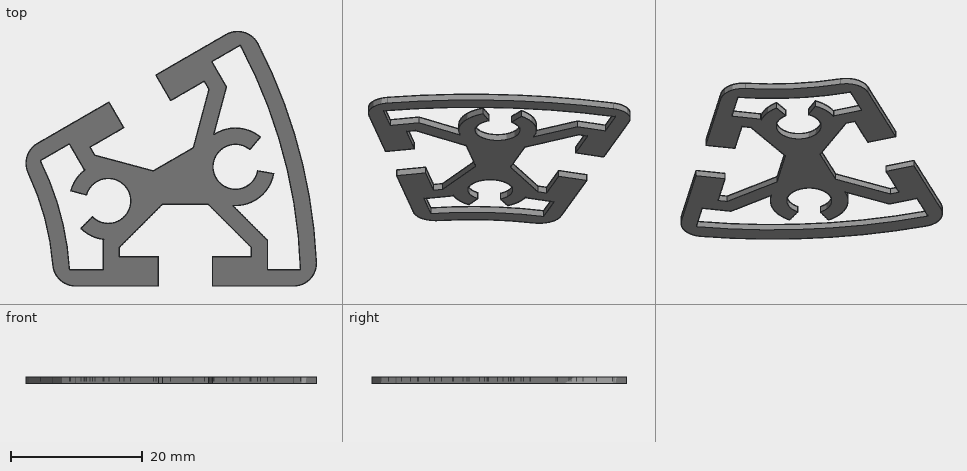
import cadquery as cq
import math

THICKNESS = 1.0
INNER_RADIUS = 40.0
OUTER_RADIUS = 80.0
SECTOR_ANGLE = 30.0
BISECTOR_ANGLE = SECTOR_ANGLE / 2
CORNER_RADIUS = 3.5
WALL = 2.5

SLOT_CENTRE = (INNER_RADIUS + OUTER_RADIUS) / 2
SLOT_HALF_MOUTH = 4.1
SLOT_HALF_WIDTH = 10.0
SLOT_HALF_FLOOR = 3.5
LIP_DEPTH = 4.5
SLOT_DEPTH = 12.4

BORE_RADIUS = 3.4
CHANNEL_RADIUS = BORE_RADIUS + WALL
CHANNEL_GAP_ANGLE = 60.0
INNER_CHANNEL_POSITION = 50.0
OUTER_CHANNEL_POSITION = 70.0
INNER_GAP_DIRECTION = BISECTOR_ANGLE + 180.0
OUTER_GAP_DIRECTION = 20.0


def polar(radius, angle, centre=(0.0, 0.0)):
    """Point at the given radius and angle (degrees) from a centre."""
    turn = math.radians(angle)
    return (centre[0] + radius * math.cos(turn), centre[1] + radius * math.sin(turn))


def annular_sector(inner_radius, outer_radius, inset):
    """Plate between two radii, with its straight sides moved inwards by inset."""

    def corners(radius):
        inset_angle = math.degrees(math.asin(inset / radius))
        return polar(radius, inset_angle), polar(radius, SECTOR_ANGLE - inset_angle)

    inner_low, inner_high = corners(inner_radius)
    outer_low, outer_high = corners(outer_radius)
    return (
        cq.Workplane("XY")
        .moveTo(*inner_low)
        .lineTo(*outer_low)
        .threePointArc(polar(outer_radius, BISECTOR_ANGLE), outer_high)
        .lineTo(*inner_high)
        .threePointArc(polar(inner_radius, BISECTOR_ANGLE), inner_low)
        .close()
        .extrude(THICKNESS)
    )


def on_both_sides(body):
    """Join a body on the +X side with its mirror image about the bisector."""
    mirrored = body.mirror("XZ").rotate((0, 0, 0), (0, 0, 1), SECTOR_ANGLE)
    return body.union(mirrored)


def symmetric_prism(half_outline):
    """Prism from (half width, depth) points, mirrored about the slot centre."""
    right = [(SLOT_CENTRE + half_width, depth) for half_width, depth in half_outline]
    left = [(SLOT_CENTRE - half_width, depth) for half_width, depth in reversed(half_outline)]
    return cq.Workplane("XY").polyline(right + left).close().extrude(THICKNESS)


def t_slot():
    """Slot space: narrow mouth, wide undercut, 45 degree flanks and flat floor."""
    flank_start = SLOT_DEPTH - (SLOT_HALF_WIDTH - SLOT_HALF_FLOOR)
    return symmetric_prism([
        (SLOT_HALF_MOUTH, 0),
        (SLOT_HALF_MOUTH, LIP_DEPTH),
        (SLOT_HALF_WIDTH, LIP_DEPTH),
        (SLOT_HALF_WIDTH, flank_start),
        (SLOT_HALF_FLOOR, SLOT_DEPTH),
    ])


def slot_surround():
    """Solid envelope of the slot, one wall thickness outside its sides, flanks and floor."""
    half_width = SLOT_HALF_WIDTH + WALL
    depth = SLOT_DEPTH + WALL
    half_floor = SLOT_HALF_FLOOR + WALL * (math.sqrt(2) - 1)
    flank_start = depth - (half_width - half_floor)
    return symmetric_prism([
        (half_width, 0),
        (half_width, flank_start),
        (half_floor, depth),
    ])


def core_web():
    """Solid strip along the bisector that joins the two channels."""
    length = OUTER_CHANNEL_POSITION - INNER_CHANNEL_POSITION
    middle = (OUTER_CHANNEL_POSITION + INNER_CHANNEL_POSITION) / 2
    return (
        cq.Workplane("XY")
        .center(middle, 0)
        .rect(length, 2 * BORE_RADIUS)
        .extrude(THICKNESS)
        .rotate((0, 0, 0), (0, 0, 1), BISECTOR_ANGLE)
    )


def disc(centre, radius):
    return cq.Workplane("XY").center(*centre).circle(radius).extrude(THICKNESS)


def channel_void(centre, gap_direction):
    """Screw bore plus the wedge-shaped gap through the channel wall."""
    half_gap = CHANNEL_GAP_ANGLE / 2
    gap = (
        cq.Workplane("XY")
        .moveTo(*centre)
        .lineTo(*polar(CHANNEL_RADIUS, gap_direction - half_gap, centre))
        .threePointArc(
            polar(CHANNEL_RADIUS, gap_direction, centre),
            polar(CHANNEL_RADIUS, gap_direction + half_gap, centre),
        )
        .close()
        .extrude(THICKNESS)
    )
    return disc(centre, BORE_RADIUS).union(gap)


def build():
    channels = [
        (polar(INNER_CHANNEL_POSITION, BISECTOR_ANGLE), INNER_GAP_DIRECTION),
        (polar(OUTER_CHANNEL_POSITION, BISECTOR_ANGLE), OUTER_GAP_DIRECTION),
    ]

    hollow = annular_sector(INNER_RADIUS + WALL, OUTER_RADIUS - WALL, WALL)
    hollow = hollow.cut(on_both_sides(slot_surround())).cut(core_web())
    for centre, _ in channels:
        hollow = hollow.cut(disc(centre, CHANNEL_RADIUS))

    plate = annular_sector(INNER_RADIUS, OUTER_RADIUS, 0).edges("|Z").fillet(CORNER_RADIUS)
    plate = plate.cut(hollow).cut(on_both_sides(t_slot()))
    for centre, gap_direction in channels:
        plate = plate.cut(channel_void(centre, gap_direction))
    return plate


result = build()